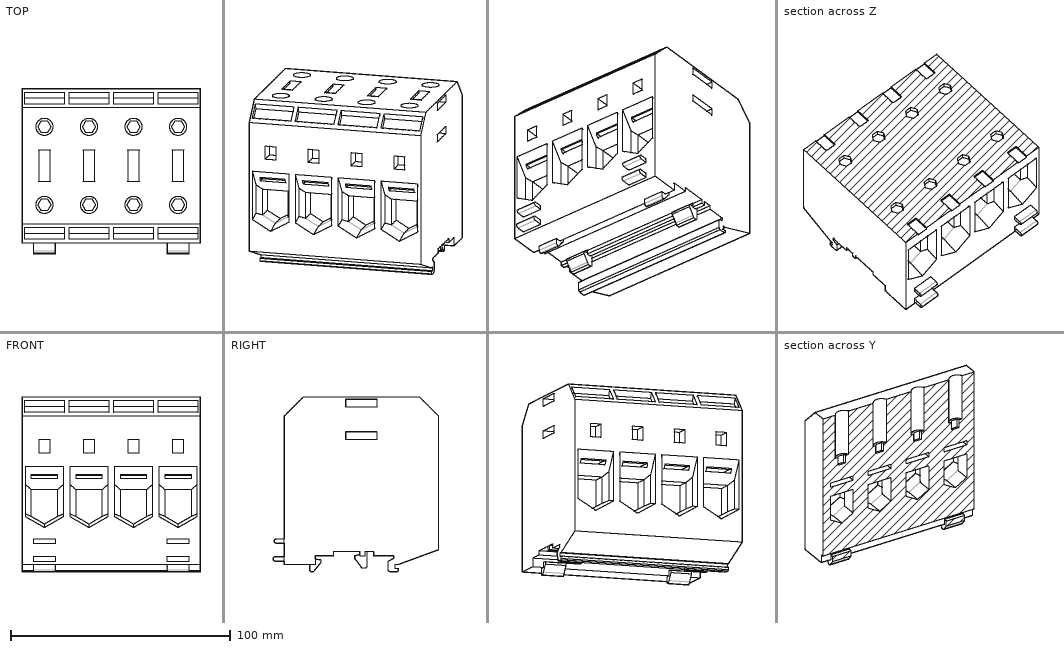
import cadquery as cq
import math


width = 81.2
depth = 70.3
height = 79.7
pole_count = 4
pole_pitch = width / pole_count
pole_centers = [pole_pitch * (i + 0.5) for i in range(pole_count)]
shoulder = 8.7
base_z = 3.3
rail_z = 7.3
groove_z = 9.25
back_corner_z = 10.1

label_width = 18.35
label_height = 7.4
label_depth = 2.6
label_draft = 22.5

window_width = 5.1
window_height = 6.2
window_bottom = 54.25
window_depth = 7.3

bridge_width = window_width
bridge_length = 14.2
channel_height = 3.4
upper_channel_bottom = 75.3
lower_channel_bottom = 60.4

screw_hole_diameter = 7.8
screw_hole_depth = 22.7
screw_spacing = 35.6
hex_across_flats = 5.2
hex_depth = 4.1

mouth_width = 17.2
mouth_top = 48.1
mouth_tip = 20.2
floor_angle = 30.0
straight_depth = 6.3
funnel_depth = 8.1
roof_drop = 10.55
floor_rise = 1.6
bore_width = 12.0
bore_depth = 16.2
blade_slot_bottom = 42.55
blade_slot_height = 1.95

tab_width = 10.0
tab_centers = [pole_centers[0], pole_centers[-1]]
overlap = 0.8
foot_rounding = 1.0
upper_pin = (14.05, 1.95, 4.6)
lower_pin = (5.9, 2.2, 5.1)


def box(x_center, box_width, y_range, z_range):
    """Box centred on x_center that fills the given Y and Z ranges."""
    y_start, y_end = y_range
    z_start, z_end = z_range
    return cq.Workplane("XY").box(
        box_width, y_end - y_start, z_end - z_start, centered=(True, False, False)
    ).translate((x_center, y_start, z_start))


def slab(profile, x_start, slab_width):
    """Extrude a closed (Y, Z) profile along +X."""
    return cq.Workplane("YZ").workplane(offset=x_start).polyline(profile).close().extrude(slab_width)


def front_and_back(cutter):
    """Add the mirror image of a cutter about the middle of the depth."""
    return cutter.union(cutter.mirror("XZ", (0, depth / 2, 0)))


def make_housing():
    """Solid body over the full width, with its underside shaped to fit the rail."""
    profile = [
        (0, base_z),
        (0, height - shoulder),
        (shoulder, height),
        (depth - shoulder, height),
        (depth, height - shoulder),
        (depth, back_corner_z),
        (52.0, base_z),
        (50.6, base_z),
        (50.6, 1.6),
        (52.05, 1.6),
        (52.05, 0.5),
        (51.3, 0),
        (48.15, 0),
        (47.25, 0.7),
        (47.25, 4.9),
        (49.85, 6.2),
        (49.85, rail_z),
        (40.8, rail_z),
        (40.8, groove_z),
        (36.7, groove_z),
        (36.7, rail_z),
        (34.6, rail_z),
        (34.6, groove_z),
        (22.6, groove_z),
        (22.6, rail_z),
        (14.2, rail_z),
        (14.2, base_z),
    ]
    return slab(profile, 0, width)


def make_pin(x_center, center_z, thickness, reach):
    """Flat pin on the front face with a half-round tip."""
    radius = thickness / 2
    return (
        cq.Workplane("YZ").workplane(offset=x_center - tab_width / 2)
        .moveTo(overlap, center_z - radius)
        .lineTo(radius - reach, center_z - radius)
        .threePointArc((-reach, center_z), (radius - reach, center_z + radius))
        .lineTo(overlap, center_z + radius)
        .close().extrude(tab_width)
    )


def make_snap_feet(x_center):
    """Hooked middle foot and front foot that grip the rail."""
    middle_foot = [
        (37.8, groove_z + overlap),
        (37.8, 2.5),
        (37.2, 1.8),
        (35.25, 1.8),
        (34.7, 2.8),
        (32.1, 6.2),
        (32.1, 7.4),
        (34.3, 7.95),
        (34.3, groove_z + overlap),
    ]
    front_foot = [
        (11.6, 5.9),
        (14.2, 5.9),
        (16.8, 5.5),
        (16.8, 4.4),
        (14.2, 1.1),
        (13.2, 0),
        (11.6, 0),
    ]
    x_start = x_center - tab_width / 2
    front = slab(front_foot, x_start, tab_width).faces("<Z").edges("<Y").fillet(foot_rounding)
    return slab(middle_foot, x_start, tab_width).union(front)


def label_pocket(x_center):
    """Pocket in the front shoulder whose upper and lower walls close in towards its floor."""
    half_mouth = label_height / 2
    half_floor = half_mouth - label_depth * math.tan(math.radians(label_draft))
    profile = [
        (-half_mouth, 0),
        (half_mouth, 0),
        (half_floor, -label_depth),
        (-half_floor, -label_depth),
    ]
    pocket = slab(profile, -label_width / 2, label_width)
    pocket = pocket.rotate((0, 0, 0), (1, 0, 0), 45)
    return pocket.translate((x_center, shoulder / 2, height - shoulder / 2))


def test_window(x_center):
    """Small blind opening above the wire entry."""
    return box(x_center, window_width, (0, window_depth), (window_bottom, window_bottom + window_height))


def entry_outline(x_center, y, outline_width):
    """Five-sided cross-section of the wire entry at a given depth."""
    progress = y / funnel_depth
    half = outline_width / 2
    top = mouth_top - roof_drop * progress
    tip = mouth_tip + floor_rise * progress
    corner = tip + half * math.tan(math.radians(floor_angle))
    points = [(-half, top), (half, top), (half, corner), (0, tip), (-half, corner)]
    return cq.Wire.makePolygon([cq.Vector(x_center + x, y, z) for x, z in points], close=True)


def wire_entry(x_center):
    """Funnel with a sloping roof that narrows into a straight bore, and a blade slot in the roof."""
    mouth = entry_outline(x_center, 0, mouth_width)
    throat = entry_outline(x_center, straight_depth, mouth_width)
    bore_mouth = entry_outline(x_center, funnel_depth, bore_width)
    entry = cq.Workplane(cq.Solid.makeLoft([mouth, throat], True))
    entry = entry.union(cq.Workplane(cq.Solid.makeLoft([throat, bore_mouth], True)))
    bore = cq.Solid.extrudeLinear(bore_mouth, [], cq.Vector(0, bore_depth - funnel_depth, 0))
    blade_slot = box(
        x_center, bore_width, (straight_depth / 2, bore_depth),
        (blade_slot_bottom, blade_slot_bottom + blade_slot_height),
    )
    return entry.union(cq.Workplane(bore)).union(blade_slot)


def screw_hole(x_center):
    """Round access hole in the top with a hexagonal socket in its floor."""
    y_center = (depth - screw_spacing) / 2
    hole = (
        cq.Workplane("XY").workplane(offset=height - screw_hole_depth)
        .center(x_center, y_center)
        .circle(screw_hole_diameter / 2).extrude(screw_hole_depth)
    )
    hex_across_corners = hex_across_flats / math.cos(math.radians(30))
    socket = (
        cq.Workplane("XY").workplane(offset=height - screw_hole_depth - hex_depth)
        .center(x_center, y_center)
        .polygon(6, hex_across_corners).extrude(hex_depth)
    )
    return hole.union(socket)


bridge_range = ((depth - bridge_length) / 2, (depth + bridge_length) / 2)

result = make_housing()

for center in tab_centers:
    result = result.union(make_snap_feet(center))
    for pin in (upper_pin, lower_pin):
        result = result.union(make_pin(center, *pin))

for center in pole_centers:
    for make_cutter in (label_pocket, test_window, wire_entry, screw_hole):
        result = result.cut(front_and_back(make_cutter(center)))
    result = result.cut(box(center, bridge_width, bridge_range, (upper_channel_bottom, height)))

for bottom in (upper_channel_bottom, lower_channel_bottom):
    result = result.cut(box(width / 2, width, bridge_range, (bottom, bottom + channel_height)))